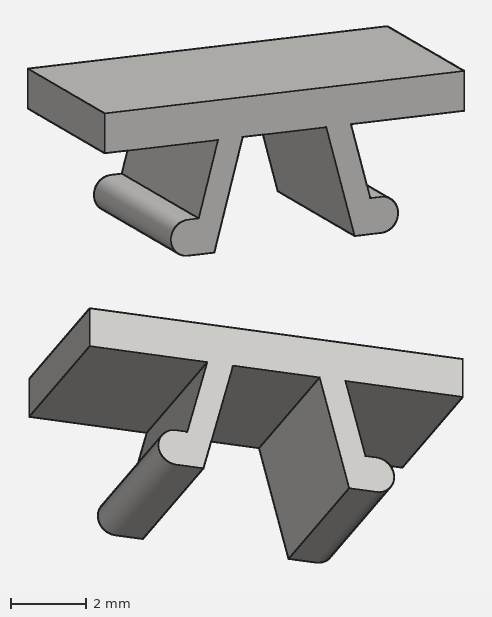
import cadquery as cq
import math

width = 5.0
length = 10.5
total_height = 4.2
plate_thickness = 1.1

leg_root_inner = 1.22
leg_root_thickness = 0.72
leg_angle = 15.0
bead_height = 1.0
bead_reach = 3.32

leg_height = total_height - plate_thickness
bead_radius = bead_height / 2
bead_center = bead_reach - bead_radius
splay = math.tan(math.radians(leg_angle))


def make_plate():
    """Flat plate with its underside at the leg roots."""
    return (
        cq.Workplane("XY")
        .box(width, length, plate_thickness, centered=(True, True, False))
        .translate((0, 0, leg_height))
    )


def make_leg():
    """Leg on the +Y side with a half-round bead pointing outward."""
    root_outer = leg_root_inner + leg_root_thickness
    foot_inner = leg_root_inner + leg_height * splay
    bead_top_start = root_outer + (leg_height - bead_height) * splay
    return (
        cq.Workplane("YZ")
        .moveTo(leg_root_inner, leg_height)
        .lineTo(foot_inner, 0)
        .lineTo(bead_center, 0)
        .threePointArc((bead_reach, bead_radius), (bead_center, bead_height))
        .lineTo(bead_top_start, bead_height)
        .lineTo(root_outer, leg_height)
        .close()
        .extrude(width / 2, both=True)
    )


leg = make_leg()
result = make_plate().union(leg).union(leg.mirror("XZ"))